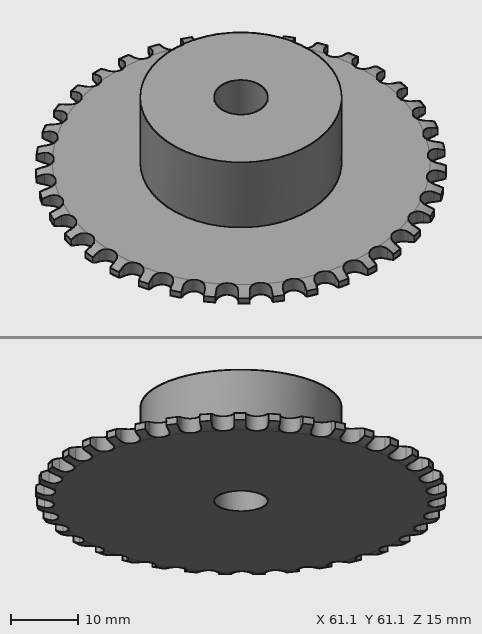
import cadquery as cq
import math

tooth_count = 37
pitch_radius = 29.5
roller_radius = 1.65
tip_radius = 30.55
plate_thickness = 2.3
total_height = 15.0
hub_diameter = 30.0
bore_diameter = 8.0
relief_width = 2.45
relief_drop = 0.6

half_pitch_angle = math.pi / tooth_count
relief_start = tip_radius - relief_width
relief_arc_radius = (relief_width**2 + relief_drop**2) / (2 * relief_drop)


def relief_depth(radius):
    """Axial drop of the flank arc, which leaves the flat face tangentially."""
    run = radius - relief_start
    return relief_arc_radius - math.sqrt(relief_arc_radius**2 - run**2)


def make_blank():
    """Toothless disc whose rim curves inwards on both faces."""
    mid_radius = relief_start + relief_width / 2
    mid_depth = relief_depth(mid_radius)
    return (
        cq.Workplane("YZ")
        .lineTo(relief_start, 0)
        .threePointArc((mid_radius, mid_depth), (tip_radius, relief_drop))
        .lineTo(tip_radius, plate_thickness - relief_drop)
        .threePointArc((mid_radius, plate_thickness - mid_depth), (relief_start, plate_thickness))
        .lineTo(0, plate_thickness)
        .close()
        .revolve(360, (0, 0), (0, 1))
    )


def make_tooth_gap():
    """Cutter on the +X axis: a roller seat opening along the sides of the two teeth next to it."""
    side_x = pitch_radius - roller_radius * math.sin(half_pitch_angle)
    side_y = roller_radius * math.cos(half_pitch_angle)
    side_run = 2 * (tip_radius - side_x)
    mouth_x = side_x + side_run * math.cos(half_pitch_angle)
    mouth_y = side_y + side_run * math.sin(half_pitch_angle)
    return (
        cq.Workplane("XY")
        .moveTo(mouth_x, mouth_y)
        .lineTo(side_x, side_y)
        .threePointArc((pitch_radius - roller_radius, 0), (side_x, -side_y))
        .lineTo(mouth_x, -mouth_y)
        .close()
        .extrude(plate_thickness)
    )


result = make_blank()
tooth_gap = make_tooth_gap()
for index in range(tooth_count):
    gap_angle = -90 + index * 360 / tooth_count
    result = result.cut(tooth_gap.rotate((0, 0, 0), (0, 0, 1), gap_angle))

hub = cq.Workplane("XY").circle(hub_diameter / 2).extrude(total_height)
result = result.union(hub)

bore = cq.Workplane("XY").circle(bore_diameter / 2).extrude(total_height)
result = result.cut(bore)